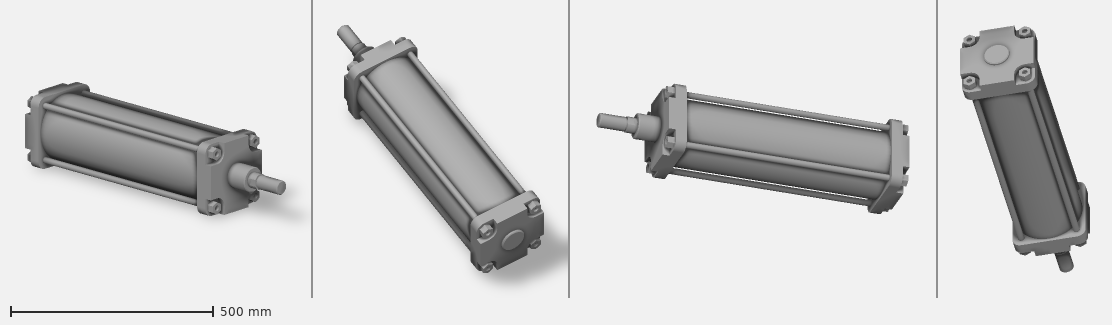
import cadquery as cq
import math

rear_boss_length = 6.0
cap_length = 46.5
pocket_depth = 18.0
barrel_start = rear_boss_length + cap_length
barrel_length = 536.0
barrel_end = barrel_start + barrel_length
head_face = barrel_end + cap_length
head_boss_length = 57.0
overall_length = 788.0

cap_size = 186.0
tie_rod_offset = 70.0
corner_radius = cap_size / 2 - tie_rod_offset
pocket_radius = 26.0
pocket_edge = tie_rod_offset - pocket_radius
boss_diameter = 65.0
boss_chamfer = 2.0

barrel_diameter = 170.0

tie_rod_diameter = 16.0
nut_across_flats = 28.0
nut_across_corners = nut_across_flats / math.cos(math.radians(30))
nut_height = 17.0
end_hole_diameter = 14.0
end_hole_depth = 8.0

rod_diameter = 40.0
rod_collar_length = 5.5
wrench_flat_length = 19.0
wrench_across_flats = 36.0
relief_length = 4.0
relief_diameter = 31.5
thread_diameter = 36.0
thread_chamfer = 2.0

tie_rod_places = [
    (y, z)
    for y in (-tie_rod_offset, tie_rod_offset)
    for z in (-tie_rod_offset, tie_rod_offset)
]


def section_at(x):
    """Workplane across the cylinder axis at station x: local axes are +Y and +Z, normal is +X."""
    return cq.Workplane("YZ", origin=(x, 0, 0))


def rod_along_x(start, end, diameter):
    return section_at(start).circle(diameter / 2).extrude(end - start)


def corner_pockets(start):
    """Four recesses that open the cap corners around the nuts, rounded towards the cap centre."""
    width = cap_size - pocket_edge
    centre = pocket_edge + width / 2
    places = [(y, z) for y in (-centre, centre) for z in (-centre, centre)]
    blocks = section_at(start).pushPoints(places).rect(width, width).extrude(pocket_depth)
    return blocks.edges("|X").fillet(pocket_radius)


def make_cap(start, pocket_start):
    """Square plate with rounded corners, nut pockets and tie rod holes."""
    plate = section_at(start).rect(cap_size, cap_size).extrude(cap_length).edges("|X").fillet(corner_radius)
    tie_rod_holes = section_at(start).pushPoints(tie_rod_places).circle(tie_rod_diameter / 2).extrude(cap_length)
    return plate.cut(corner_pockets(pocket_start)).cut(tie_rod_holes)


def make_rear_cap():
    cap = make_cap(rear_boss_length, rear_boss_length)
    boss = rod_along_x(0, rear_boss_length, boss_diameter).faces("<X").chamfer(boss_chamfer)
    return cap.union(boss)


def make_head_cap():
    """Front cap whose long boss guides the piston rod."""
    cap = make_cap(barrel_end, head_face - pocket_depth)
    boss_end = head_face + head_boss_length
    boss = rod_along_x(head_face, boss_end, boss_diameter).faces(">X").chamfer(boss_chamfer)
    return cap.union(boss).cut(rod_along_x(barrel_end, boss_end, rod_diameter))


def make_barrel():
    return rod_along_x(barrel_start, barrel_end, barrel_diameter)


def make_nut(start):
    """Hexagonal nut with corners pointing up and down."""
    flat_topped_nut = section_at(start).polygon(6, nut_across_corners).extrude(nut_height)
    return flat_topped_nut.rotate((0, 0, 0), (1, 0, 0), 90)


def make_tie_rod(y, z):
    """Rod through both caps with a nut in the pocket at each end and a blind hole in each end face."""
    rear_nut_seat = rear_boss_length + pocket_depth
    head_nut_seat = head_face - pocket_depth
    rear_end = rear_nut_seat - nut_height
    head_end = head_nut_seat + nut_height
    tie_rod = (
        rod_along_x(rear_end, head_end, tie_rod_diameter)
        .union(make_nut(rear_end))
        .union(make_nut(head_nut_seat))
        .cut(rod_along_x(rear_end, rear_end + end_hole_depth, end_hole_diameter))
        .cut(rod_along_x(head_end - end_hole_depth, head_end, end_hole_diameter))
    )
    return tie_rod.translate((0, y, z))


def make_piston_rod():
    """Rod with two wrench flats facing the Y sides, a relief groove and a threaded end."""
    flats_start = head_face + head_boss_length + rod_collar_length
    flats_end = flats_start + wrench_flat_length
    thread_start = flats_end + relief_length
    shank = rod_along_x(barrel_end, flats_start, rod_diameter)
    flat_bounds = section_at(flats_start).rect(wrench_across_flats, rod_diameter).extrude(wrench_flat_length)
    wrench_section = rod_along_x(flats_start, flats_end, rod_diameter).intersect(flat_bounds)
    relief = rod_along_x(flats_end, thread_start, relief_diameter)
    thread = rod_along_x(thread_start, overall_length, thread_diameter).faces(">X").chamfer(thread_chamfer)
    return shank.union(wrench_section).union(relief).union(thread)


rear_cap = make_rear_cap()
head_cap = make_head_cap()
barrel = make_barrel()
piston_rod = make_piston_rod()
tie_rods = [make_tie_rod(y, z) for y, z in tie_rod_places]

result = cq.Compound.makeCompound(
    [
        rear_cap.val(),
        head_cap.val(),
        barrel.val(),
        piston_rod.val(),
        *[tie_rod.val() for tie_rod in tie_rods],
    ]
)